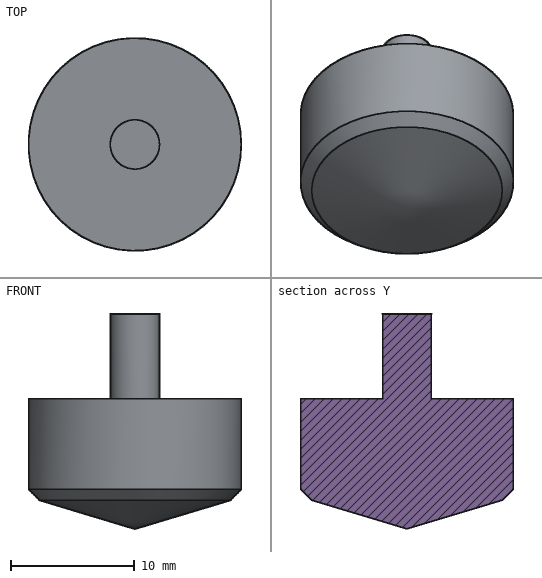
import cadquery as cq

total_height = 17.5
body_diameter = 17.3
pin_diameter = 4.0
pin_length = 6.9
chamfer = 0.91
cone_height = 2.33

body_radius = body_diameter / 2
pin_radius = pin_diameter / 2
cone_radius = body_radius - chamfer
chamfer_top = cone_height + chamfer
body_top = total_height - pin_length

result = (
    cq.Workplane("XZ")
    .moveTo(0, 0)
    .lineTo(cone_radius, cone_height)
    .lineTo(body_radius, chamfer_top)
    .lineTo(body_radius, body_top)
    .lineTo(pin_radius, body_top)
    .lineTo(pin_radius, total_height)
    .lineTo(0, total_height)
    .close()
    .revolve(360, (0, 0, 0), (0, 1, 0))
)